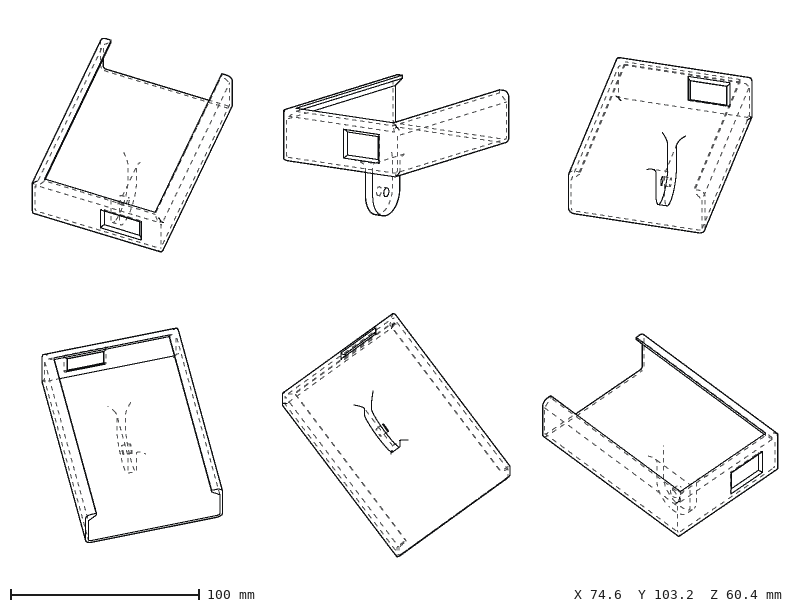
import cadquery as cq

width = 74.6
length = 103.2
height = 28.5
total_height = 60.4
long_edge_radius = 3.4
front_edge_radius = 1.8

wall = 1.5
floor_thickness = 2.0
cavity_floor_radius = 1.5
side_lip_inset = 6.0
front_lip_inset = 4.1
lip_thickness = 1.7

window_width = 19.8
window_height = 12.5
window_center_x = 13.5
window_edge_radius = wall

tab_thickness = 4.7
tab_width = 25.3
tab_center_y = 39.5
tab_hole_diameter = 4.7
tab_root_radius = 4.7


def box_between(x_range, y_range, z_range):
    """Box spanning the given (low, high) ranges."""
    return cq.Workplane("XY").box(
        x_range[1] - x_range[0],
        y_range[1] - y_range[0],
        z_range[1] - z_range[0],
        centered=False,
    ).translate((x_range[0], y_range[0], z_range[0]))


def make_shell():
    """Block whose rounded edges meet in mitres at the front corners."""
    block = box_between((-width / 2, width / 2), (0, length), (0, height))
    rounded_along_length = block.edges("|Y").fillet(long_edge_radius)
    rounded_front_sides = block.edges("|Z and <Y").fillet(front_edge_radius)
    rounded_front_rims = block.edges("|X and <Y").fillet(front_edge_radius)
    return rounded_along_length.intersect(rounded_front_sides).intersect(rounded_front_rims)


def make_cavity():
    """Open-backed cavity that narrows under the lips to the top opening."""
    half_cavity = width / 2 - wall
    half_opening = width / 2 - side_lip_inset
    slope_top = height - lip_thickness
    slope_bottom = slope_top - (half_cavity - half_opening)
    profile = [
        (-half_cavity, floor_thickness),
        (half_cavity, floor_thickness),
        (half_cavity, slope_bottom),
        (half_opening, slope_top),
        (half_opening, height),
        (-half_opening, height),
        (-half_opening, slope_top),
        (-half_cavity, slope_bottom),
    ]
    channel = cq.Workplane("XZ").polyline(profile).close().extrude(-length)
    channel = channel.edges("|Y and <Z").fillet(cavity_floor_radius)

    front_slope_bottom = slope_top - (front_lip_inset - wall)
    side_profile = [
        (wall, 0),
        (length, 0),
        (length, height),
        (front_lip_inset, height),
        (front_lip_inset, slope_top),
        (wall, front_slope_bottom),
    ]
    front_limit = cq.Workplane("YZ").polyline(side_profile).close().extrude(width / 2, both=True)
    return channel.intersect(front_limit)


def make_window():
    """Rectangular opening that flares in a convex round towards the front."""
    half_width = window_width / 2
    half_height = window_height / 2
    r = window_edge_radius

    def flared_slot(half_size):
        return (
            cq.Workplane("XY")
            .moveTo(-half_size - r, 0)
            .radiusArc((-half_size, r), r)
            .lineTo(-half_size, front_lip_inset)
            .lineTo(half_size, front_lip_inset)
            .lineTo(half_size, r)
            .radiusArc((half_size + r, 0), r)
            .close()
        )

    across = flared_slot(half_width).extrude(half_height + r, both=True)
    upright = flared_slot(half_height).extrude(half_width + r, both=True).rotate((0, 0, 0), (0, 1, 0), 90)
    return across.intersect(upright).translate((window_center_x, 0, height / 2))


def make_tab():
    """Round-ended tab that sinks into the tray floor."""
    end_radius = tab_width / 2
    end_center_z = height - total_height + end_radius
    blade = (
        cq.Workplane("YZ")
        .moveTo(tab_center_y - end_radius, 0)
        .lineTo(tab_center_y - end_radius, end_center_z)
        .threePointArc(
            (tab_center_y, end_center_z - end_radius),
            (tab_center_y + end_radius, end_center_z),
        )
        .lineTo(tab_center_y + end_radius, 0)
        .close()
        .extrude(tab_thickness / 2, both=True)
    )
    hole = (
        cq.Workplane("YZ")
        .center(tab_center_y, end_center_z)
        .circle(tab_hole_diameter / 2)
        .extrude(tab_thickness, both=True)
    )
    return blade.cut(hole)


def round_tab_root(body):
    """Fillet all four edges where the tab meets the underside."""
    margin = 0.1
    root = cq.selectors.BoxSelector(
        (-tab_thickness / 2 - margin, tab_center_y - tab_width / 2 - margin, -margin),
        (tab_thickness / 2 + margin, tab_center_y + tab_width / 2 + margin, margin),
    )
    return body.edges(root).fillet(tab_root_radius)


body = round_tab_root(make_shell().union(make_tab()))
result = body.cut(make_cavity()).cut(make_window())